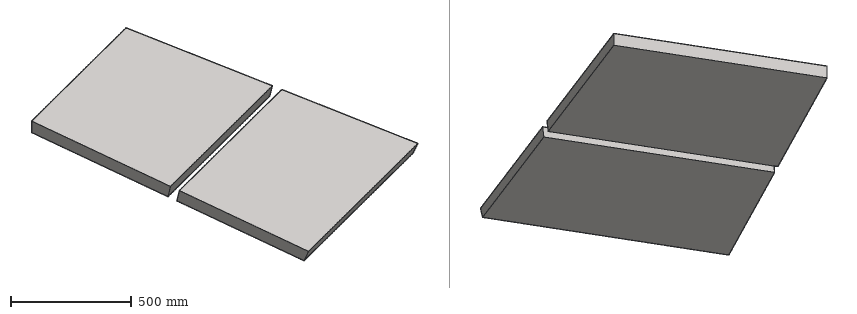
import cadquery as cq
import math

northwest = (0.0, 950.0)
southwest = (111.0, 0.0)
southeast = (1410.0, 75.0)
northeast_y = 1174.0

height = 354.0
upright_thickness = 54.0
outer_lean = 21.0
panel_gap = 42.0
upper_run = 651.0

edge_x = southwest[0] - northwest[0]
edge_y = southwest[1] - northwest[1]
edge_length = math.hypot(edge_x, edge_y)
slope_x = -edge_y / edge_length
slope_y = edge_x / edge_length

northeast = (southeast[0] + (northeast_y - southeast[1]) * edge_x / edge_y, northeast_y)
total_run = (northeast[0] - northwest[0]) * slope_x + (northeast[1] - northwest[1]) * slope_y

pitch_slope = (height - upright_thickness) / (total_run - outer_lean)
pitch = math.atan(pitch_slope)
pitch_cos = math.cos(pitch)
pitch_sin = math.sin(pitch)

square_lean = upright_thickness * pitch_cos * pitch_sin
lower_start = upper_run + panel_gap * pitch_cos

extrude_half = 2115.0


def plan_trim():
    """Upright prism whose north and south walls trim the panel ends."""
    margin = 14.0
    overrun = 0.2

    def beyond(start, end):
        return tuple(e + overrun * (e - s) for s, e in zip(start, end))

    corners = [
        beyond(northeast, northwest),
        beyond(southeast, southwest),
        beyond(southwest, southeast),
        beyond(northwest, northeast),
    ]
    return cq.Workplane("XY", origin=(0, 0, -margin)).polyline(corners).close().extrude(height + 2 * margin)


def sloping_panel(start, end, start_lean, end_lean):
    """Panel between two runs down the slope; each lean moves the lower edge uphill."""

    def top(run):
        return (run, height - run * pitch_slope)

    def bottom(run):
        return (run, height - upright_thickness - run * pitch_slope)

    outline = [top(start), top(end), bottom(end - end_lean), bottom(start - start_lean)]
    section = cq.Plane(
        origin=(northwest[0], northwest[1], 0),
        xDir=(slope_x, slope_y, 0),
        normal=(slope_y, -slope_x, 0),
    )
    slab = cq.Workplane(section).polyline(outline).close().extrude(extrude_half, both=True)
    return slab.intersect(plan_trim())


upper_panel = sloping_panel(0, upper_run, 0, square_lean)
lower_panel = sloping_panel(lower_start, total_run, square_lean, outer_lean)

result = cq.Compound.makeCompound([upper_panel.val(), lower_panel.val()])